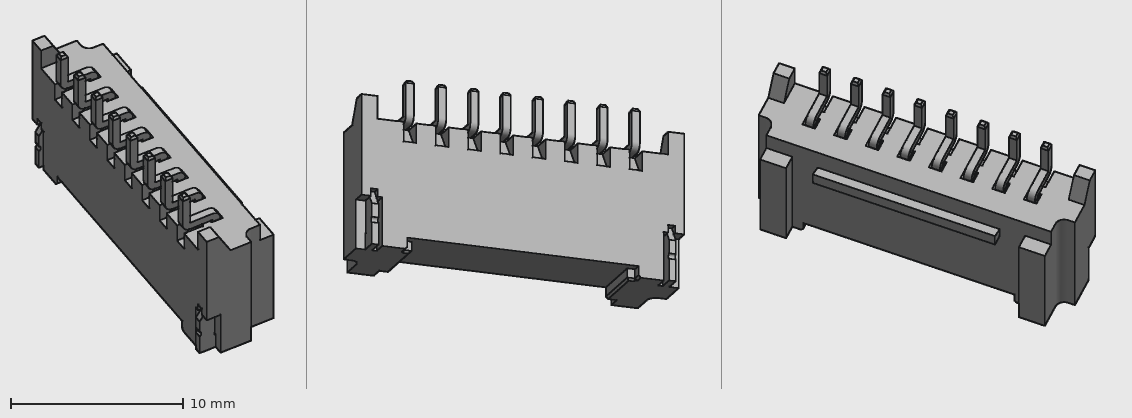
import cadquery as cq
import math


length = 20.0
body_height = 7.8
body_back = 4.18
shoulder_back = 3.0
shoulder_width = 1.0
shoulder_fillet = 0.55

ear_width = 1.0
ear_height = 9.2
ear_top_depth = 0.82
ear_base_depth = 1.6

guide_width = 1.65
guide_height = 6.6
guide_back = 5.1
latch_length = 11.52
latch_back = 4.9
latch_top = 6.6
latch_rise = 0.2
latch_thickness = 0.8

opening_height = 0.7
opening_length = 13.35
front_opening_length = 14.32
front_wall = 0.6
opening_chamfer = 0.15

pin_count = 8
pin_pitch = 2.0
pin_size = 0.5
pin_top = 10.4
pin_leg_back = 2.52
pin_tip_height = 0.18
pin_tip_inset = 0.1
pin_seat_depth = 0.6

slot_width = 0.8
slot_floor = 6.6
slot_floor_depth = 0.42
slot_depth = 1.3
funnel_front = 1.85
funnel_back = 2.62
funnel_depth = 0.15

recess_width = 1.28
recess_height = 3.0
recess_depth = 0.95
tab_outer = 0.58
tab_width = 0.42
tab_front = -0.15
tab_slope_start = 2.5
tab_top = 3.45
tab_top_front = 0.52
tab_clearance = 0.05
tab_root_height = 1.0
tab_groove_height = 1.5
tab_groove_radius = 0.18
tab_groove_bite = 0.12

half_length = length / 2


def box(x0, x1, y0, y1, z0, z1):
    """Box between two opposite corners."""
    return cq.Workplane("XY").box(x1 - x0, y1 - y0, z1 - z0, centered=False).translate((x0, y0, z0))


def side_profile(points, x0, width):
    """Closed outline of (Y, Z) points, extruded along +X from x0."""
    return cq.Workplane("YZ", origin=(x0, 0, 0)).polyline(points).close().extrude(width)


def both_ends(solid):
    """A left-end feature together with its mirror image at the right end."""
    return solid.union(solid.mirror("YZ"))


def make_body():
    """Stepped housing with an ear and a guide block at each end."""
    neck = half_length - shoulder_width
    fillet_end = shoulder_back + shoulder_fillet
    fillet_mid = shoulder_fillet * (1 - math.sqrt(0.5))
    half_body = (
        cq.Workplane("XY")
        .lineTo(-half_length, 0)
        .lineTo(-half_length, shoulder_back)
        .lineTo(-neck - shoulder_fillet, shoulder_back)
        .threePointArc((-neck - fillet_mid, shoulder_back + fillet_mid), (-neck, fillet_end))
        .lineTo(-neck, body_back)
        .lineTo(0, body_back)
        .close()
        .extrude(body_height)
    )

    ear = side_profile(
        [
            (0, body_height),
            (0, ear_height),
            (ear_top_depth, ear_height),
            (ear_base_depth, body_height),
        ],
        -half_length,
        ear_width,
    )
    guide = box(-neck, -neck + guide_width, body_back, guide_back, 0, guide_height)
    return both_ends(half_body.union(ear).union(guide))


def make_latch():
    """Catch on the back wall whose top rises gently toward its outer edge."""
    points = [
        (body_back, latch_top - latch_thickness),
        (body_back, latch_top - latch_rise),
        (latch_back, latch_top),
        (latch_back, latch_top - latch_thickness),
    ]
    return side_profile(points, -latch_length / 2, latch_length)


def make_bottom_opening():
    """Gap between the feet, bevelled along its lower edges."""

    def chamfered_mouth(mouth_length, y0, y1):
        """Opening of full height, flared outward at its lower end edges."""
        half = mouth_length / 2
        flared = half + opening_chamfer
        points = [
            (-flared, 0),
            (-half, opening_chamfer),
            (-half, opening_height),
            (half, opening_height),
            (half, opening_chamfer),
            (flared, 0),
        ]
        return cq.Workplane("XZ", origin=(0, y0, 0)).polyline(points).close().extrude(y0 - y1)

    front = chamfered_mouth(front_opening_length, 0, front_wall)
    through = chamfered_mouth(opening_length, 0, guide_back)
    front_bevel = side_profile(
        [(front_wall, 0), (front_wall, opening_chamfer), (front_wall + opening_chamfer, 0)],
        -front_opening_length / 2,
        front_opening_length,
    )
    return front.union(through).union(front_bevel)


def make_pin_cavity(x):
    """Sloped front notch and tapered rear funnel for one pin."""
    slot = side_profile(
        [
            (0, slot_floor),
            (slot_floor_depth, slot_floor),
            (slot_depth, body_height),
            (0, body_height),
        ],
        x - slot_width / 2,
        slot_width,
    )
    funnel_middle = (funnel_front + funnel_back) / 2
    funnel = (
        cq.Workplane("XY", origin=(x, funnel_middle, body_height))
        .rect(slot_width, funnel_back - funnel_front)
        .workplane(offset=-funnel_depth)
        .rect(pin_size, pin_size)
        .loft(ruled=True)
    )
    return slot.union(funnel)


def make_pin(x):
    """Leg leaving the housing, rounded over to the front and up into a tail."""
    bend = pin_size
    arm_top = body_height + pin_size
    seat = body_height - pin_seat_depth
    left = x - pin_size / 2
    shaft_top = pin_top - pin_tip_height
    diagonal = bend * math.sqrt(0.5)
    shaft = (
        cq.Workplane("YZ", origin=(left, 0, 0))
        .moveTo(pin_leg_back, seat)
        .lineTo(pin_leg_back, body_height)
        .threePointArc(
            (pin_leg_back - bend + diagonal, body_height + diagonal),
            (pin_leg_back - bend, arm_top),
        )
        .lineTo(pin_size, arm_top)
        .lineTo(pin_size, shaft_top)
        .lineTo(0, shaft_top)
        .lineTo(0, arm_top)
        .threePointArc((bend - diagonal, arm_top - diagonal), (bend, body_height))
        .lineTo(pin_leg_back - pin_size, body_height)
        .lineTo(pin_leg_back - pin_size, seat)
        .close()
        .extrude(pin_size)
    )
    tip_size = pin_size - 2 * pin_tip_inset
    tip = (
        cq.Workplane("XY", origin=(x, pin_size / 2, shaft_top))
        .rect(pin_size, pin_size)
        .workplane(offset=pin_tip_height)
        .rect(tip_size, tip_size)
        .loft(ruled=True)
    )
    return shaft.union(tip)


def make_tab_recess():
    """Corner cutout with a slit above it for the top of the tab."""
    corner = box(-half_length, -half_length + recess_width, 0, recess_depth, 0, recess_height)
    tab_left = -half_length + tab_outer
    slit = box(tab_left, tab_left + tab_width, 0, recess_depth, 0, tab_top)
    return corner.union(slit)


def make_tab():
    """Upright solder plate with a ramped top and a round groove in its front edge."""
    tab_left = -half_length + tab_outer
    gap_front = recess_depth - tab_clearance
    plate = side_profile(
        [
            (tab_front, 0),
            (tab_front, tab_slope_start),
            (tab_top_front, tab_top),
            (gap_front, tab_top),
            (gap_front, tab_root_height),
            (recess_depth, tab_root_height),
            (recess_depth, 0),
        ],
        tab_left,
        tab_width,
    )
    groove_center = tab_front - tab_groove_radius + tab_groove_bite
    groove = (
        cq.Workplane("YZ", origin=(tab_left, 0, 0))
        .center(groove_center, tab_groove_height)
        .circle(tab_groove_radius)
        .extrude(tab_width)
    )
    return plate.cut(groove)


pin_places = [(i - (pin_count - 1) / 2) * pin_pitch for i in range(pin_count)]

result = make_body().union(make_latch())
result = result.cut(make_bottom_opening())
result = result.cut(both_ends(make_tab_recess()))
for place in pin_places:
    result = result.cut(make_pin_cavity(place))
for place in pin_places:
    result = result.union(make_pin(place))
result = result.union(both_ends(make_tab()))